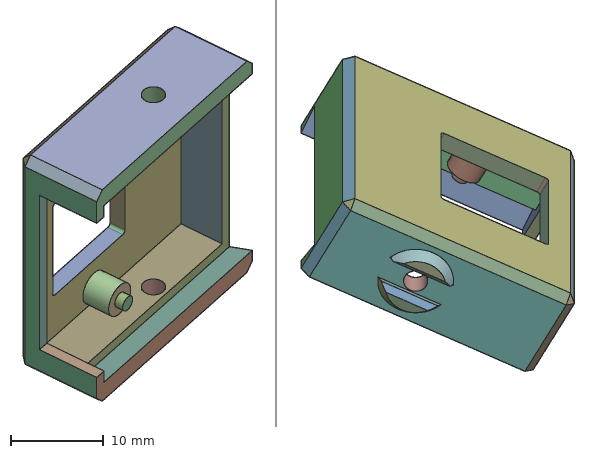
import cadquery as cq
import math

depth = 10.6
length = 28.2
top_z = 31.4
foot_height = 1.2
body_height = top_z - foot_height
mid_z = foot_height + body_height / 2
chamfer_size = 1.0

front_wall = 2.0
notch_start = 2.95
end_wall = 1.32
cavity_height = 24.75
ledge_x = 7.55
cover_mouth_height = 25.25
cover_angle = 19.0
notch_height = 22.05

window_y = -3.9
window_size = 13.05
window_radius = 0.38

standoff_diameter = 4.0
standoff_length = 3.45
pin_diameter = 1.8
pin_length = 1.07
standoff_pitch = 20.72
standoff_y = -2.98

hole_x = 5.78
hole_y = 2.7
hole_diameter = 2.6
foot_base_radius = 4.08
foot_tip_radius = 3.25
foot_gap = 2.83
foot_bevel = 0.65
foot_overlap = 0.3


def block(x_start, x_end, y_start, y_end, height):
    """Box between the given X and Y limits, centred on the body height."""
    return cq.Workplane("XY").box(
        x_end - x_start, y_end - y_start, height, centered=(False, False, True)
    ).translate((x_start, y_start, mid_z))


def make_shell():
    half = length / 2
    shell = block(0, depth, -half, half, body_height)
    shell = shell.edges("|X or <X").chamfer(chamfer_size)
    shell = shell.cut(block(front_wall, depth, -half + end_wall, half - end_wall, cavity_height))
    shell = shell.cut(make_cover_recess())
    return shell.cut(block(notch_start, depth, -half, 0, notch_height))


def make_cover_recess():
    """Dovetail slot that lets a cover slide in from the +Y end."""
    half_mouth = cover_mouth_height / 2
    half_root = half_mouth + (depth - ledge_x) * math.tan(math.radians(cover_angle))
    return (
        cq.Workplane("XZ", origin=(0, length / 2, mid_z))
        .polyline([
            (ledge_x, -half_root),
            (depth, -half_mouth),
            (depth, half_mouth),
            (ledge_x, half_root),
        ])
        .close()
        .extrude(length - end_wall)
    )


def make_window():
    half = window_size / 2
    window = block(0, front_wall, window_y - half, window_y + half, window_size)
    return window.edges("|X").fillet(window_radius)


def make_standoff(z):
    plane = cq.Workplane("YZ", origin=(front_wall, standoff_y, z))
    post = plane.circle(standoff_diameter / 2).extrude(standoff_length)
    pin = plane.circle(pin_diameter / 2).extrude(standoff_length + pin_length)
    return post.union(pin)


def make_foot():
    """Tapered round foot split along Y by a slot that flares at the tip."""
    root_z = foot_height + foot_overlap
    cone = (
        cq.Workplane("XZ")
        .moveTo(0, 0)
        .lineTo(foot_tip_radius, 0)
        .lineTo(foot_base_radius, foot_height)
        .lineTo(foot_base_radius, root_z)
        .lineTo(0, root_z)
        .close()
        .revolve(360, (0, 0, 0), (0, 1, 0))
    )
    half_gap = foot_gap / 2
    half_mouth = half_gap + foot_bevel
    slot = (
        cq.Workplane("XZ")
        .polyline([
            (-half_mouth, 0),
            (half_mouth, 0),
            (half_gap, foot_bevel),
            (half_gap, root_z),
            (-half_gap, root_z),
            (-half_gap, foot_bevel),
        ])
        .close()
        .extrude(foot_base_radius, both=True)
    )
    return cone.cut(slot).translate((hole_x, hole_y, 0))


result = make_shell().cut(make_window())
for side in (-1, 1):
    result = result.union(make_standoff(mid_z + side * standoff_pitch / 2))
result = result.union(make_foot())
hole = cq.Workplane("XY").center(hole_x, hole_y).circle(hole_diameter / 2).extrude(top_z)
result = result.cut(hole)